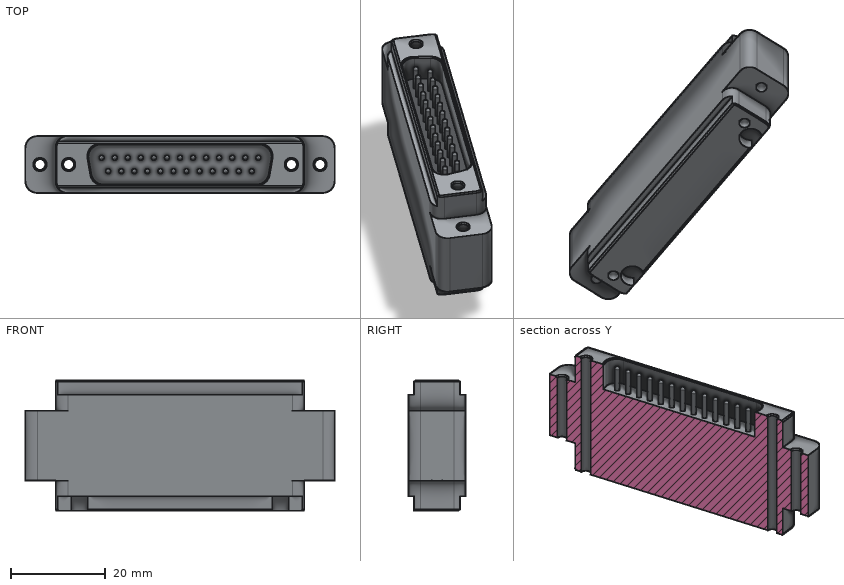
import cadquery as cq
import math

FLANGE_LENGTH = 65.43
BODY_LENGTH = 52.6
BODY_WIDTH = 12.06
BODY_HEIGHT = 27.64
FLANGE_HEIGHT = 14.8
CORNER_RADIUS = 2.54

RIM_WIDTH = 9.74
RIM_HEIGHT = 3.06
RIM_CHAMFER = 0.38
END_CHAMFER_INSET = 0.2

FLANGE_HOLE_SPACING = 59.2
BODY_HOLE_SPACING = 47.1
HOLE_DIAMETER = 2.25
COUNTERSINK_DEPTH = 0.3

SOCKET_MID_LENGTH = 38.2
SOCKET_WIDTH = 8.4
SOCKET_SIDE_ANGLE = 10
SOCKET_CORNER_RADIUS = 2.54
SOCKET_DEPTH = 6.0
SOCKET_CHAMFER = 0.25

PIN_PITCH = 2.76
ROW_SPACING = 2.84
LONG_ROW_COUNT = 13
PIN_DIAMETER = 1.04
PIN_TIP_RADIUS = 0.4
PIN_TIP_DROP = 0.5

POCKET_SPACING = 42.5
POCKET_RADIUS = 2.4
POCKET_OPENING = 3.55

HALF_HEIGHT = BODY_HEIGHT / 2
SOCKET_FLOOR = HALF_HEIGHT - SOCKET_DEPTH
RIM_START = HALF_HEIGHT - RIM_HEIGHT


def rounded_block(length, height):
    """Upright block of the body's width with rounded vertical corners."""
    return cq.Workplane("XY").box(length, BODY_WIDTH, height).edges("|Z").fillet(CORNER_RADIUS)


def make_body():
    """Body whose X ends are bevelled at the top and bottom."""
    straight_height = BODY_HEIGHT - 2 * RIM_CHAMFER
    taper = math.degrees(math.atan2(END_CHAMFER_INSET, RIM_CHAMFER))
    body = rounded_block(BODY_LENGTH, straight_height)
    for end in (">Z", "<Z"):
        cap = body.faces(end).wires().toPending().workplane().extrude(RIM_CHAMFER, taper=taper, combine=False)
        body = body.union(cap)
    return body


def rim_step(y_side, z_side, chamfer_length):
    """Material removed beside a rim: a full-length step and a bevel along the rim's edge."""
    rim_y = RIM_WIDTH / 2
    step_width = BODY_WIDTH / 2 - rim_y
    step = cq.Workplane("XY").box(BODY_LENGTH, step_width, RIM_HEIGHT).translate(
        (0, y_side * (rim_y + step_width / 2), z_side * (RIM_START + RIM_HEIGHT / 2))
    )
    bevel = (
        cq.Workplane("YZ")
        .moveTo(y_side * rim_y, z_side * HALF_HEIGHT)
        .lineTo(y_side * (rim_y - RIM_CHAMFER), z_side * HALF_HEIGHT)
        .lineTo(y_side * rim_y, z_side * (HALF_HEIGHT - RIM_CHAMFER))
        .close()
        .extrude(chamfer_length / 2, both=True)
    )
    return step.union(bevel)


def make_front_pockets():
    """Pair of round pockets that break through the front of the bottom rim."""
    axis_offset = math.sqrt(POCKET_RADIUS**2 - (POCKET_OPENING / 2) ** 2)
    axis_y = -RIM_WIDTH / 2 + axis_offset
    return (
        cq.Workplane("XY", origin=(0, 0, -HALF_HEIGHT))
        .pushPoints([(side * POCKET_SPACING / 2, axis_y) for side in (-1, 1)])
        .circle(POCKET_RADIUS)
        .extrude(RIM_HEIGHT)
    )


def screw_holes(spacing, top_z):
    """Pair of countersunk through holes."""
    hole_radius = HOLE_DIAMETER / 2
    profile = (
        cq.Workplane("XZ")
        .moveTo(0, top_z)
        .lineTo(hole_radius + COUNTERSINK_DEPTH, top_z)
        .lineTo(hole_radius, top_z - COUNTERSINK_DEPTH)
        .lineTo(hole_radius, -HALF_HEIGHT)
        .lineTo(0, -HALF_HEIGHT)
        .close()
    )
    hole = profile.revolve(360, (0, 0, 0), (0, 1, 0))
    return hole.translate((-spacing / 2, 0, 0)).union(hole.translate((spacing / 2, 0, 0)))


def make_socket():
    """D-shaped cavity, longer on the +Y side, with a bevelled mouth."""
    slant = SOCKET_WIDTH / 2 * math.tan(math.radians(SOCKET_SIDE_ANGLE))
    long_x = SOCKET_MID_LENGTH / 2 + slant
    short_x = SOCKET_MID_LENGTH / 2 - slant
    y = SOCKET_WIDTH / 2
    cavity = (
        cq.Workplane("XY", origin=(0, 0, SOCKET_FLOOR))
        .polyline([(-long_x, y), (long_x, y), (short_x, -y), (-short_x, -y)])
        .close()
        .extrude(SOCKET_DEPTH)
        .edges("|Z")
        .fillet(SOCKET_CORNER_RADIUS)
    )
    mouth = (
        cavity.faces(">Z")
        .wires()
        .toPending()
        .workplane(offset=-SOCKET_CHAMFER)
        .extrude(SOCKET_CHAMFER, taper=-45, combine=False)
    )
    mouth = mouth.translate((0, 0, HALF_HEIGHT - mouth.val().BoundingBox().zmax))
    return cavity.union(mouth)


def pin_row(count, y):
    """Row of pins with rounded tips, standing on the socket floor."""
    pin_height = SOCKET_DEPTH - PIN_TIP_DROP
    return (
        cq.Workplane("XY", origin=(0, y, SOCKET_FLOOR))
        .rarray(PIN_PITCH, 1, count, 1)
        .circle(PIN_DIAMETER / 2)
        .extrude(pin_height)
        .faces(">Z")
        .edges()
        .fillet(PIN_TIP_RADIUS)
    )


body = make_body()
front_chamfer_length = POCKET_SPACING - POCKET_OPENING
for y_side, z_side, chamfer_length in (
    (1, 1, BODY_LENGTH),
    (-1, 1, BODY_LENGTH),
    (1, -1, BODY_LENGTH),
    (-1, -1, front_chamfer_length),
):
    body = body.cut(rim_step(y_side, z_side, chamfer_length))

body = body.cut(make_front_pockets())
body = body.union(rounded_block(FLANGE_LENGTH, FLANGE_HEIGHT))
body = body.cut(screw_holes(FLANGE_HOLE_SPACING, FLANGE_HEIGHT / 2))
body = body.cut(screw_holes(BODY_HOLE_SPACING, HALF_HEIGHT))
body = body.cut(make_socket())
body = body.union(pin_row(LONG_ROW_COUNT, ROW_SPACING / 2))
result = body.union(pin_row(LONG_ROW_COUNT - 1, -ROW_SPACING / 2))